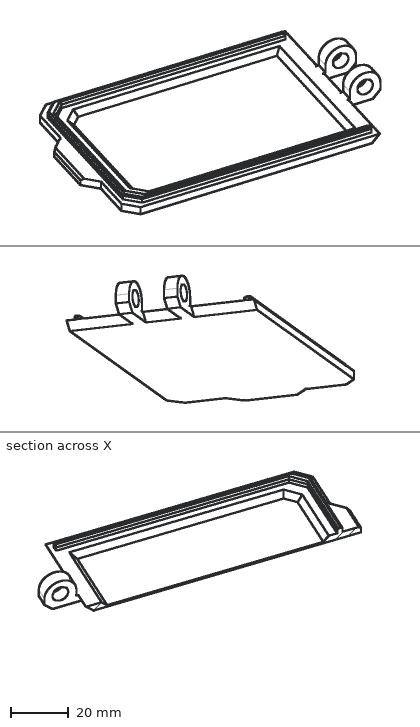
import cadquery as cq

plate_width = 70.0
plate_length = 99.0
plate_thickness = 3.0
corner_cut = 4.9
half_width = plate_width / 2

tab_root_width = 30.0
tab_depth = 5.3
tab_tip_width = tab_root_width - 2 * tab_depth
tab_bevel = 0.9

pocket_side_margin = 7.0
pocket_back_margin = 6.0
pocket_depth = 2.1

rib_wall_height = 1.5
rib_bevel_height = 0.6
rib_back_margin = 2.1
rib_back_bevel = 0.4
rib_back = plate_length - rib_back_margin
rib_outer_side = 2.1
rib_outer_front = 1.8
rib_inner_side = 4.5
rib_inner_front = 3.9
rib_crest_outer = 2.5
rib_crest_outer_cut = 4.6
rib_crest_inner = 3.5

total_length = 117.0
ear_diameter = 12.0
ear_radius = ear_diameter / 2
ear_hole_diameter = 6.0
ear_width = 5.0
ear_spacing = 18.0
ear_bevel = plate_thickness
ear_back = total_length - tab_depth
ear_axis_y = ear_back - ear_radius


def cut_corner_outline(side, front, back, cut):
    """Rectangle inset from the plate sides, with both front corners cut off."""
    x = half_width - side
    return [(-x, back), (-x, front + cut), (-x + cut, front),
            (x - cut, front), (x, front + cut), (x, back)]


def prism(points, bottom, height):
    return cq.Workplane("XY").workplane(offset=bottom).polyline(points).close().extrude(height)


def loft_between(lower, upper, bottom, height):
    return (
        cq.Workplane("XY").workplane(offset=bottom).polyline(lower).close()
        .workplane(offset=height).polyline(upper).close()
        .loft(ruled=True)
    )


def make_plate():
    plate = prism(cut_corner_outline(0, 0, plate_length, corner_cut), 0, plate_thickness)
    profile = [(0, 0), (plate_length - plate_thickness, 0),
               (plate_length, plate_thickness), (0, plate_thickness)]
    leaning_slab = cq.Workplane("YZ").polyline(profile).close().extrude(half_width, both=True)
    return plate.intersect(leaning_slab)


def make_tab():
    tip = tab_tip_width / 2
    root = tab_root_width / 2
    outline = [(-tip, -tab_depth), (tip, -tab_depth), (root, 0), (-root, 0)]
    tab = prism(outline, 0, plate_thickness)
    return tab.faces("<Y").edges(">Z").chamfer(tab_bevel)


def make_pocket():
    back = plate_length - pocket_back_margin
    floor_cut = corner_cut - (2 - 2 ** 0.5) * pocket_depth
    rim = cut_corner_outline(pocket_side_margin, pocket_side_margin, back, corner_cut)
    floor_inset = pocket_side_margin + pocket_depth
    floor = cut_corner_outline(floor_inset, floor_inset, back - pocket_depth, floor_cut)
    return loft_between(floor, rim, plate_thickness - pocket_depth, pocket_depth)


def make_rib():
    bevel_base = plate_thickness + rib_wall_height
    crest_back = rib_back - rib_back_bevel
    outer = cut_corner_outline(rib_outer_side, rib_outer_front, rib_back, corner_cut)
    outer_crest = cut_corner_outline(rib_crest_outer, rib_crest_outer, crest_back, rib_crest_outer_cut)
    inner = cut_corner_outline(rib_inner_side, rib_inner_front, plate_length, corner_cut)
    inner_crest = cut_corner_outline(rib_crest_inner, rib_crest_inner, plate_length, corner_cut)
    body = prism(outer, plate_thickness, rib_wall_height)
    body = body.union(loft_between(outer, outer_crest, bevel_base, rib_bevel_height))
    core = prism(inner, plate_thickness, rib_wall_height)
    core = core.union(loft_between(inner, inner_crest, bevel_base, rib_bevel_height))
    return body.cut(core)


def make_ear(x):
    ear_front = ear_axis_y - ear_radius
    ear = (
        cq.Workplane("YZ", origin=(x - ear_width / 2, 0, 0))
        .moveTo(plate_length - plate_thickness, 0)
        .lineTo(ear_back - ear_bevel, 0)
        .lineTo(ear_back, ear_bevel)
        .lineTo(ear_back, ear_radius)
        .threePointArc((ear_axis_y, ear_diameter), (ear_front, ear_radius))
        .lineTo(ear_front, plate_thickness)
        .lineTo(plate_length, plate_thickness)
        .close()
        .extrude(ear_width)
    )
    hole = (
        cq.Workplane("YZ", origin=(x - ear_width / 2, ear_axis_y, ear_radius))
        .circle(ear_hole_diameter / 2)
        .extrude(ear_width)
    )
    return ear.cut(hole)


result = make_plate().union(make_tab()).cut(make_pocket()).union(make_rib())
for ear_x in (-ear_spacing / 2, ear_spacing / 2):
    result = result.union(make_ear(ear_x))